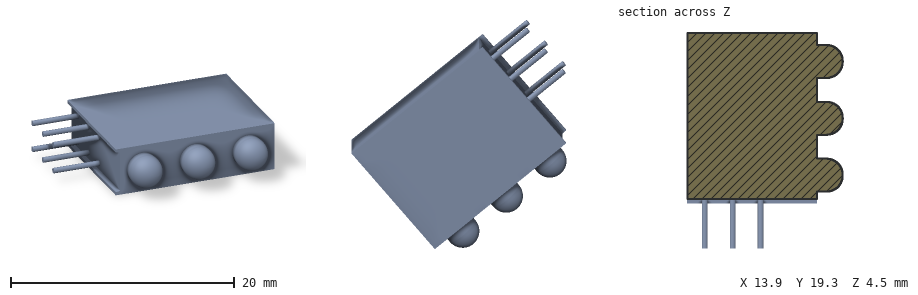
import cadquery as cq

housing_length = 11.6
housing_depth = 15.3
housing_height = 4.5

recess_depth = 0.4
lip_tip_thickness = 0.3
lip_root_thickness = 0.37

led_count = 3
led_pitch = 5.08
led_radius = 1.5
led_barrel_length = 0.8

lead_columns = 3
lead_column_pitch = 2.5
lead_row_pitch = 2.54
lead_diameter = 0.5
lead_first_x = 1.55
lead_protrusion = 4.0

mid_y = housing_depth / 2


def make_housing():
    """Block with its lead face at Y = 0, centred on Z = 0."""
    half_height = housing_height / 2
    tip_z = half_height - lip_tip_thickness
    root_z = half_height - lip_root_thickness
    section = [
        (0, half_height),
        (0, tip_z),
        (recess_depth, root_z),
        (recess_depth, -root_z),
        (0, -tip_z),
        (0, -half_height),
        (housing_depth, -half_height),
        (housing_depth, half_height),
    ]
    return cq.Workplane("YZ").polyline(section).close().extrude(housing_length)


def make_led(center_y):
    """Round barrel with a hemispherical dome, pointing along +X."""
    dome_start = housing_length + led_barrel_length
    barrel = (
        cq.Workplane("YZ", origin=(housing_length, center_y, 0))
        .circle(led_radius)
        .extrude(led_barrel_length)
    )
    dome = (
        cq.Workplane("XY", origin=(dome_start, center_y, 0))
        .lineTo(led_radius, 0)
        .radiusArc((0, led_radius), -led_radius)
        .close()
        .revolve(360, (0, 0, 0), (1, 0, 0))
    )
    return barrel.union(dome)


def make_lead(x, z):
    """Round pin from the recess floor out past the lips along -Y."""
    return (
        cq.Workplane("XZ", origin=(x, recess_depth, z))
        .circle(lead_diameter / 2)
        .extrude(recess_depth + lead_protrusion)
    )


result = make_housing()

for index in range(led_count):
    offset = (index - (led_count - 1) / 2) * led_pitch
    result = result.union(make_led(mid_y + offset))

for column in range(lead_columns):
    lead_x = lead_first_x + column * lead_column_pitch
    for lead_z in (-lead_row_pitch / 2, lead_row_pitch / 2):
        result = result.union(make_lead(lead_x, lead_z))